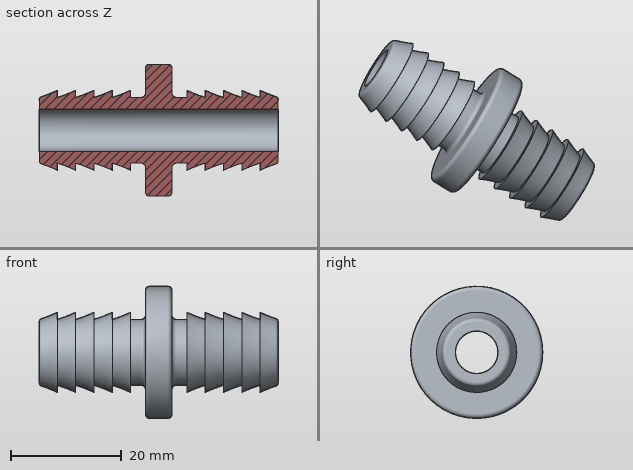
import cadquery as cq

length = 43.18
bore_diameter = 7.62
core_diameter = 11.94
barb_diameter = 14.48

flange_diameter = 23.88
flange_width = 4.826
flange_edge_radius = 0.762
flange_root_radius = 0.762

barb_count = 5
barb_pitch = 3.302
barb_flank_radius = 25.4
end_edge_radius = 0.635

half_length = length / 2
core_radius = core_diameter / 2
barb_radius = barb_diameter / 2


def cylinder_along_x(diameter, width):
    """Cylinder on the X axis, centred on the origin."""
    return cq.Workplane("YZ").circle(diameter / 2).extrude(width / 2, both=True)


def barb(tip_x):
    """Barb with a concave flank, rising from its small end at tip_x toward the flange."""
    return (
        cq.Workplane("XY")
        .moveTo(tip_x, 0)
        .lineTo(tip_x, core_radius)
        .radiusArc((tip_x + barb_pitch, barb_radius), -barb_flank_radius)
        .lineTo(tip_x + barb_pitch, 0)
        .close()
        .revolve(360, (0, 0, 0), (1, 0, 0))
    )


def flanged_core():
    """Plain stem with the rounded central flange blended into it."""
    flange = cylinder_along_x(flange_diameter, flange_width)
    flange = flange.edges().fillet(flange_edge_radius)
    core_length = length - 2 * barb_count * barb_pitch
    core = cylinder_along_x(core_diameter, core_length).union(flange)
    near_flange = cq.selectors.BoxSelector(
        (-flange_width, -core_radius, -core_radius),
        (flange_width, core_radius, core_radius),
    )
    smallest_circles = cq.selectors.RadiusNthSelector(0)
    root_edges = core.edges("%CIRCLE").edges(near_flange).edges(smallest_circles)
    return root_edges.fillet(flange_root_radius)


def barbed_end():
    """Row of barbs on the -X end, with the outer end edge rounded."""
    barbs = barb(-half_length)
    for index in range(1, barb_count):
        barbs = barbs.union(barb(-half_length + index * barb_pitch))
    return barbs.faces("<X").edges().fillet(end_edge_radius)


left_end = barbed_end()
right_end = left_end.mirror("YZ")
bore = cylinder_along_x(bore_diameter, length)

result = flanged_core().union(left_end).union(right_end).cut(bore)